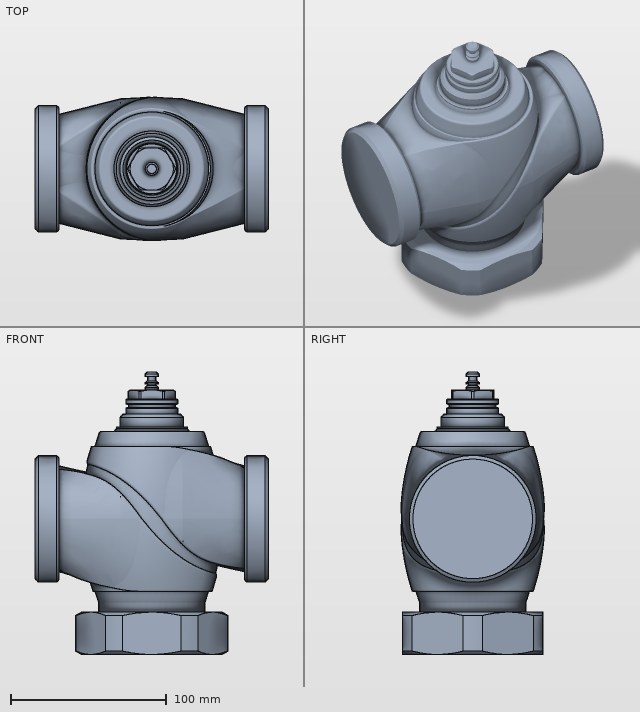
import cadquery as cq
import math


port_end_x = 75.0
flange_inner_x = 59.5
flange_radius = 40.7
flange_outer_chamfer = 2.3
flange_inner_chamfer = 1.6

body_radius = 46.3
shoulder_height = 46.5
shoulder_radius = 38.8
groove_depth = 1.1
rim_fillet = 2.0
crest_fillet = 0.7
neck_radius = 35.0
elbow_x = 20.0
elbow_half_width = 45.0
elbow_half_height = 66.0
elbow_lower_half_height = 43.0
barrel_half_height = 85.0
barrel_overlap = 0.3
elbow_top = 45.3
elbow_bottom = -25.0
crown_rise = 1.0

groove_edge = [(60.5, -31.9), (44.5, -29.6), (30.0, -24.5), (10.6, -6.1), (0.0, 7.2),
               (-18.0, 24.0), (-29.0, 30.6), (-46.0, 35.7)]
crest_start_x = 8.0
crest_edge = [(27.0, 43.9), (45.0, 39.1), (60.5, 32.1)]

collar_top_z = 56.1
collar_top_radius = 33.6
collar_root_radius = 37.9
collar_root_z = 42.0
collar_fillet = 1.7
lower_neck_radius = 34.1
lower_neck_z = -53.9

hexagon_chamfer_angle = 30.0

nut_bottom_z = -87.2
nut_top_z = -59.8
nut_across_flats = 90.2
nut_corner_radius = 48.9
nut_chamfer_height = 2.3

step_radius = 22.8
step_root_radius = 24.3
step_cone_z = 58.0
step_top_z = 59.1
hub_radius = 20.5
hub_top_z = 67.2
hub_chamfer = 2.0
thread_radius = 16.7
thread_top_z = 77.1
thread_chamfer = 0.7
relief_radius = 15.1
relief_bottom_z = 71.5
relief_top_z = 73.4

hex_top_z = 82.6
hex_across_flats = 27.0
hex_corner_radius = 15.1
hex_chamfer_height = 0.7

stem_radius = 4.2
stem_groove_radius = 2.6
stem_top_z = 94.3
stem_chamfer = 1.2
stem_lands = [(hex_top_z, 85.7), (86.6, 88.6), (91.4, stem_top_z)]


def revolved(profile):
    """Solid of revolution about Z from (radius, z) points."""
    points = [(0, profile[0][1])] + profile + [(0, profile[-1][1])]
    return cq.Workplane("XZ").polyline(points).close().revolve(360, (0, 0, 0), (0, 1, 0))


def half_turn(solid):
    """Turn a solid by 180 degrees about Y, which maps one elbow onto the other."""
    return solid.rotate((0, 0, 0), (0, 1, 0), 180)


def flange(side):
    """Chamfered disc closing one port; side is +1 or -1 along X."""
    length = port_end_x - flange_inner_x
    disc = cq.Workplane("YZ").circle(flange_radius).extrude(length)
    disc = disc.faces(">X").chamfer(flange_outer_chamfer)
    disc = disc.faces("<X").chamfer(flange_inner_chamfer)
    disc = disc.translate((flange_inner_x, 0, 0))
    if side < 0:
        disc = half_turn(disc)
    return disc


def barrel(inset):
    """Bulged body of revolution between the two shoulders."""
    return (
        cq.Workplane("XZ")
        .moveTo(0, -shoulder_height)
        .lineTo(shoulder_radius - inset, -shoulder_height)
        .threePointArc((body_radius - inset, 0), (shoulder_radius - inset, shoulder_height))
        .lineTo(0, shoulder_height)
        .close()
        .revolve(360, (0, 0, 0), (0, 1, 0))
    )


def oval(x, half_width, top_height, bottom_height):
    """Closed cross-section at x: an upper and a lower half ellipse sharing one width."""
    centre = cq.Vector(x, 0, 0)
    axial = cq.Vector(1, 0, 0)
    sideways = cq.Vector(0, 1, 0)
    upper = cq.Edge.makeEllipse(half_width, top_height, centre, axial, sideways, 0, 180)
    lower = cq.Edge.makeEllipse(half_width, bottom_height, centre, axial, sideways, 180, 360)
    return cq.Wire.assembleEdges([upper, lower])


def elbow_skin():
    """Pipe growing from the round neck to a tall oval where it meets the barrel."""
    sections = [
        oval(0, body_radius - barrel_overlap, barrel_half_height, elbow_lower_half_height),
        oval(elbow_x, elbow_half_width, elbow_half_height, elbow_lower_half_height),
        oval(flange_inner_x, neck_radius, neck_radius, neck_radius),
    ]
    return cq.Workplane(cq.Solid.makeLoft(sections, True))


def elbow_outline():
    """Side outline of the upper elbow, cut straight through along Y."""
    barrel_end_x = groove_edge[-1][0]
    return (
        cq.Workplane("XZ")
        .moveTo(*groove_edge[0])
        .spline(groove_edge[1:], includeCurrent=True)
        .lineTo(barrel_end_x, shoulder_height)
        .lineTo(crest_start_x, shoulder_height)
        .spline(crest_edge, tangents=[(1, 0), (2, -1)], includeCurrent=True)
        .close()
        .extrude(2 * body_radius, both=True)
    )


def rims(solid, faces):
    """Long edges of the given cut faces, without their ends at the flange and their mid-plane seam."""
    def is_rim(edge):
        middle = edge.positionAt(0.5)
        off_seam = abs(middle.y) > rim_fillet
        off_flange = middle.x < flange_inner_x - rim_fillet
        return off_seam and off_flange
    return solid.newObject([edge for edge in faces.edges().vals() if is_rim(edge)])


def elbow():
    """Raised upper elbow, rounded along the groove, the crest and the shoulder."""
    solid = barrel(0).union(elbow_skin()).intersect(elbow_outline())
    groove_faces = solid.faces("%EXTRUSION").filter(lambda face: face.Center().z < 0.5 * shoulder_height)
    solid = rims(solid, groove_faces).fillet(rim_fillet)
    top_faces = solid.faces("%EXTRUSION or (%PLANE and >Z)")
    top_faces = top_faces.filter(lambda face: face.Center().z > 0.5 * shoulder_height)
    edges = rims(solid, top_faces).filter(lambda edge: edge.geomType() != "LINE")
    return edges.fillet(crest_fillet)


def elbow_core():
    """Crowned pipe that fills the top and bottom of an elbow between its rims."""
    centre_z = (elbow_top + elbow_bottom) / 2
    half_height = (elbow_top - elbow_bottom) / 2
    half_width = elbow_half_width - 2 * groove_depth
    return (
        cq.Workplane("YZ")
        .workplane(offset=elbow_x)
        .center(0, centre_z)
        .ellipse(half_width, half_height)
        .workplane(offset=flange_inner_x - elbow_x)
        .center(0, -centre_z)
        .ellipse(neck_radius - crown_rise, neck_radius - crown_rise)
        .loft(ruled=True)
    )


def collars():
    """Tapered collar above the casting and tapered neck below it."""
    upper = (
        cq.Workplane("XY")
        .workplane(offset=collar_root_z)
        .circle(collar_root_radius)
        .workplane(offset=collar_top_z - collar_root_z)
        .circle(collar_top_radius)
        .loft()
        .faces(">Z")
        .edges()
        .fillet(collar_fillet)
    )
    lower = revolved([
        (collar_root_radius, -collar_root_z),
        (lower_neck_radius, lower_neck_z),
        (lower_neck_radius, nut_top_z),
    ])
    return upper.union(lower)


def hexagon(across_flats, bottom_z, top_z):
    """Hexagonal prism with two flats facing along Y."""
    corner_diameter = across_flats / math.cos(math.pi / 6)
    return (
        cq.Workplane("XY")
        .workplane(offset=bottom_z)
        .polygon(6, corner_diameter)
        .extrude(top_z - bottom_z)
    )


def nut():
    """Union nut with turned corners, chamfered at both ends."""
    end_radius = nut_corner_radius - nut_chamfer_height / math.tan(math.radians(hexagon_chamfer_angle))
    blank = revolved([
        (end_radius, nut_bottom_z),
        (nut_corner_radius, nut_bottom_z + nut_chamfer_height),
        (nut_corner_radius, nut_top_z - nut_chamfer_height),
        (end_radius, nut_top_z),
    ])
    return hexagon(nut_across_flats, nut_bottom_z, nut_top_z).intersect(blank)


def bonnet():
    """Turned bonnet steps with a relief groove below the hexagon."""
    return revolved([
        (step_root_radius, collar_top_z),
        (step_radius, step_cone_z),
        (step_radius, step_top_z),
        (hub_radius, step_top_z),
        (hub_radius, hub_top_z - hub_chamfer),
        (hub_radius - hub_chamfer, hub_top_z),
        (thread_radius, hub_top_z),
        (thread_radius, relief_bottom_z - thread_chamfer),
        (thread_radius - thread_chamfer, relief_bottom_z),
        (relief_radius, relief_bottom_z),
        (relief_radius, relief_top_z),
        (thread_radius - thread_chamfer, relief_top_z),
        (thread_radius, relief_top_z + thread_chamfer),
        (thread_radius, thread_top_z - thread_chamfer),
        (thread_radius - thread_chamfer, thread_top_z),
    ])


def bonnet_hexagon():
    """Hexagon on the bonnet with turned corners and a chamfered top."""
    end_radius = hex_corner_radius - hex_chamfer_height / math.tan(math.radians(hexagon_chamfer_angle))
    blank = revolved([
        (hex_corner_radius, thread_top_z),
        (hex_corner_radius, hex_top_z - hex_chamfer_height),
        (end_radius, hex_top_z),
    ])
    return hexagon(hex_across_flats, thread_top_z, hex_top_z).intersect(blank)


def stem():
    """Grooved stem: a thin rod carrying chamfered lands."""
    rod = revolved([(stem_groove_radius, hex_top_z), (stem_groove_radius, stem_top_z)])
    for bottom_z, top_z in stem_lands:
        rod = rod.union(revolved([
            (stem_radius, bottom_z),
            (stem_radius, top_z - stem_chamfer),
            (stem_radius - stem_chamfer, top_z),
        ]))
    return rod


upper_elbow = elbow()
core = elbow_core()
turned_parts = [collars(), nut(), bonnet(), bonnet_hexagon(), stem()]
casting = [barrel(groove_depth), core, half_turn(core), upper_elbow, half_turn(upper_elbow)]
flanges = [flange(1), flange(-1)]

first, *others = [piece.val() for piece in casting + turned_parts + flanges]
result = cq.Workplane(first.fuse(*others)).solids()